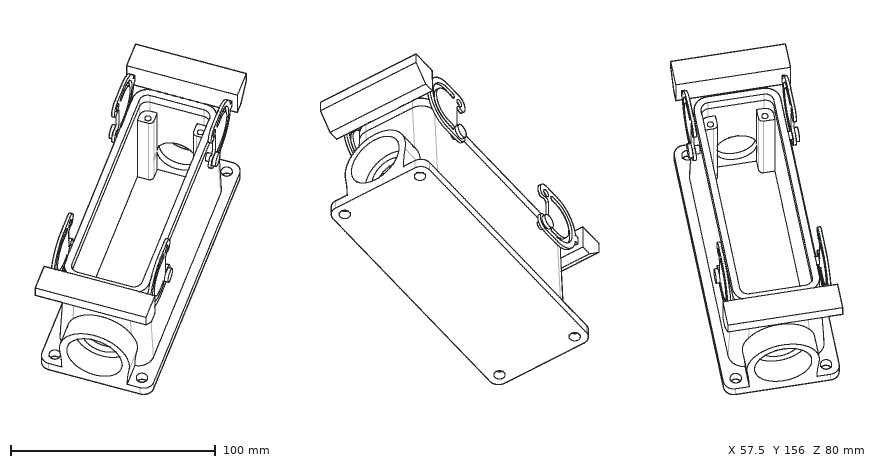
import cadquery as cq
import math

base_width = 57.5
base_length = 144.0
base_thickness = 5.2
base_corner_radius = 5.2
mount_hole_diameter = 5.5
mount_hole_x = 22.4
mount_hole_y = 65.9

rim_width = 43.0
shell_length = 120.0
shell_foot_width = 47.6
shell_corner_radius = 7.7
wall = 3.5
rim_bottom = 58.8
rim_top = 64.3
cavity_width = rim_width - 2 * wall
cavity_length = shell_length - 2 * wall
cavity_corner_radius = shell_corner_radius - wall

screw_spacing_x = 27.0
screw_spacing_y = 104.0
screw_hole_diameter = 3.0
screw_hole_depth = 12.0
pillar_inner_x = 10.2
pillar_inner_y = 49.2
pillar_corner_radius = 2.2
pillar_top = 51.5

entry_z = 20.1
entry_radius = 18.0
entry_foot_half_width = 16.8
entry_bore_diameter = 28.4
entry_hole_diameter = 20.5
entry_bore_depth = (base_length - shell_length) / 2

plate_thickness = 1.5
plate_outer_x = 25.6
plate_centre_y = 46.8
plate_centre_z = 64.6
plate_radius = 15.4
hook_y = 37.0
hook_radius = 5.0
hook_rise = plate_radius - hook_radius
hook_hole_diameter = 3.9
hook_tip_radius = 2.0
web_edge_y = 38.8
notch_radius = web_edge_y - hook_y
notch_drop = 4.75
slot_inner_radius = 9.6
slot_outer_radius = 12.4
slot_end_y = 41.3
slot_end_radius = 1.0
neck_height = 4.4

grip_width = 57.0
grip_inner_y = 64.1
grip_outer_y = 78.0
grip_bottom = 58.5
grip_top = 72.8
grip_chamfer = 8.2

pivot_diameter = 4.2
pivot_head_diameter = 7.1
pivot_head_x = 27.4
pivot_root_x = cavity_width / 2 + wall / 2
pivot_z = plate_centre_z - hook_rise

both_sides = (-1, 1)


def rounded_block(width, length, radius, bottom, top):
    block = cq.Workplane("XY").workplane(offset=bottom).rect(width, length).extrude(top - bottom)
    return block.edges("|Z").fillet(radius)


def cavity_block(bottom, top):
    return rounded_block(cavity_width, cavity_length, cavity_corner_radius, bottom, top)


def make_base():
    base = rounded_block(base_width, base_length, base_corner_radius, 0, base_thickness)
    holes = (
        cq.Workplane("XY")
        .rect(2 * mount_hole_x, 2 * mount_hole_y, forConstruction=True)
        .vertices()
        .circle(mount_hole_diameter / 2)
        .extrude(base_thickness)
    )
    return base.cut(holes)


def make_shell():
    shell = (
        cq.Workplane("XZ")
        .moveTo(-shell_foot_width / 2, base_thickness)
        .lineTo(-rim_width / 2, rim_bottom)
        .lineTo(rim_width / 2, rim_bottom)
        .lineTo(shell_foot_width / 2, base_thickness)
        .close()
        .extrude(shell_length / 2, both=True)
    )
    corner_edges = shell.edges("not(#Z or |Y)")
    return corner_edges.fillet(shell_corner_radius)


def make_pillars():
    height = pillar_top - base_thickness
    pillars = cavity_block(base_thickness, pillar_top)
    for size_x, size_y in ((2 * pillar_inner_x, cavity_length), (cavity_width, 2 * pillar_inner_y)):
        gap = cq.Workplane("XY").workplane(offset=base_thickness).rect(size_x, size_y).extrude(height)
        pillars = pillars.cut(gap)
    margin = pillar_corner_radius / 2
    inner_corners = cq.selectors.BoxSelector(
        (-pillar_inner_x - margin, -pillar_inner_y - margin, 0),
        (pillar_inner_x + margin, pillar_inner_y + margin, rim_top),
    )
    pillars = pillars.edges("|Z").edges(inner_corners).fillet(pillar_corner_radius)
    screw_holes = (
        cq.Workplane("XY")
        .workplane(offset=pillar_top)
        .rect(screw_spacing_x, screw_spacing_y, forConstruction=True)
        .vertices()
        .circle(screw_hole_diameter / 2)
        .extrude(-screw_hole_depth)
    )
    return pillars.cut(screw_holes)


def make_entry_bosses():
    """Round bosses whose flanks curve outwards again and meet the flange upright."""
    drop = entry_z - base_thickness
    flank_radius = (drop**2 + entry_foot_half_width**2 - entry_radius**2) / (
        2 * (entry_radius - entry_foot_half_width)
    )
    flank_angle = math.asin(drop / (entry_radius + flank_radius))
    join_x = entry_radius * math.cos(flank_angle)
    join_z = entry_z - entry_radius * math.sin(flank_angle)
    middle_x = entry_foot_half_width + flank_radius * (1 - math.cos(flank_angle / 2))
    middle_z = base_thickness + flank_radius * math.sin(flank_angle / 2)
    return (
        cq.Workplane("XZ")
        .moveTo(-entry_foot_half_width, 0)
        .lineTo(-entry_foot_half_width, base_thickness)
        .threePointArc((-middle_x, middle_z), (-join_x, join_z))
        .threePointArc((0, entry_z + entry_radius), (join_x, join_z))
        .threePointArc((middle_x, middle_z), (entry_foot_half_width, base_thickness))
        .lineTo(entry_foot_half_width, 0)
        .close()
        .extrude(base_length / 2, both=True)
    )


def make_entry_holes():
    hole = cq.Workplane("XZ").center(0, entry_z).circle(entry_hole_diameter / 2)
    holes = hole.extrude(base_length / 2, both=True)
    for side in both_sides:
        bore = (
            cq.Workplane("XZ", origin=(0, side * base_length / 2, entry_z))
            .circle(entry_bore_diameter / 2)
            .extrude(side * entry_bore_depth)
        )
        holes = holes.union(bore)
    return holes


def point_on(centre, radius, angle):
    return (centre[0] + radius * math.cos(angle), centre[1] + radius * math.sin(angle))


def plate_half():
    """Upper half of a lever plate, ending in its hook."""
    hook = (hook_y, hook_rise)
    notch = (hook_y, hook_rise - notch_drop)
    to_hook = hook_radius - hook_tip_radius
    to_notch = notch_radius + hook_tip_radius
    tip_drop = (notch_drop**2 + to_hook**2 - to_notch**2) / (2 * notch_drop)
    hook_angle = math.atan2(-tip_drop, -math.sqrt(to_hook**2 - tip_drop**2))
    tip = point_on(hook, to_hook, hook_angle)
    notch_angle = math.atan2(tip[1] - notch[1], tip[0] - notch[0])
    tip_start = point_on(notch, notch_radius, notch_angle)
    tip_end = point_on(hook, hook_radius, hook_angle)
    tip_middle = point_on(tip, hook_tip_radius, (notch_angle - math.pi + hook_angle) / 2)
    hook_middle = point_on(hook, hook_radius, (hook_angle - 1.5 * math.pi) / 2)
    diagonal = plate_radius * math.sqrt(0.5)
    outline = (
        cq.Workplane("YZ", origin=(0, 0, plate_centre_z))
        .moveTo(web_edge_y, 0)
        .lineTo(web_edge_y, notch[1])
        .threePointArc(point_on(notch, notch_radius, notch_angle / 2), tip_start)
        .threePointArc(tip_middle, tip_end)
        .threePointArc(hook_middle, (hook_y, plate_radius))
        .lineTo(plate_centre_y, plate_radius)
        .threePointArc((plate_centre_y + diagonal, diagonal), (plate_centre_y + plate_radius, 0))
        .close()
    )
    hole = cq.Workplane("YZ", origin=(0, 0, plate_centre_z)).moveTo(*hook).circle(hook_hole_diameter / 2)
    return outline.extrude(plate_thickness).cut(hole.extrude(plate_thickness))


def d_shape(radius):
    """Half disc about the plate centre, continued straight to the ends of the slot."""
    return (
        cq.Workplane("YZ", origin=(0, 0, plate_centre_z))
        .moveTo(slot_end_y, -radius)
        .lineTo(plate_centre_y, -radius)
        .threePointArc((plate_centre_y + radius, 0), (plate_centre_y, radius))
        .lineTo(slot_end_y, radius)
        .close()
        .extrude(plate_thickness)
    )


def make_plate():
    """One lever plate with its hooks, C-shaped slot and neck; its inner face lies at X = 0."""
    upper = plate_half()
    plate = upper.union(upper.mirror("XY", (0, 0, plate_centre_z)))
    slot = d_shape(slot_outer_radius).cut(d_shape(slot_inner_radius))
    slot = slot.edges("|X and <Y").fillet(slot_end_radius)
    neck_start_y = plate_centre_y + (slot_outer_radius + plate_radius) / 2
    neck = cq.Workplane("XY").box(
        plate_thickness, grip_inner_y - neck_start_y, neck_height, centered=(False, False, True)
    )
    return plate.cut(slot).union(neck.translate((0, neck_start_y, plate_centre_z)))


def make_grip():
    return (
        cq.Workplane("YZ")
        .moveTo(grip_inner_y, grip_bottom)
        .lineTo(grip_inner_y, grip_top)
        .lineTo(grip_outer_y, grip_top)
        .lineTo(grip_outer_y, grip_bottom + grip_chamfer)
        .lineTo(grip_outer_y - grip_chamfer, grip_bottom)
        .close()
        .extrude(grip_width / 2, both=True)
    )


def make_pivot():
    pivot = (
        cq.Workplane("YZ", origin=(pivot_root_x, hook_y, pivot_z))
        .circle(pivot_diameter / 2)
        .extrude(pivot_head_x - pivot_root_x)
    )
    head = (
        cq.Workplane("YZ", origin=(plate_outer_x, hook_y, pivot_z))
        .circle(pivot_head_diameter / 2)
        .extrude(pivot_head_x - plate_outer_x)
    )
    return pivot.union(head)


def make_lever():
    """Lever at the +Y end: a plate and pivot on each side, joined by the grip bar."""
    side_parts = make_plate().translate((plate_outer_x - plate_thickness, 0, 0)).union(make_pivot())
    return make_grip().union(side_parts).union(side_parts.mirror("YZ"))


def make_housing():
    """Housing with both levers fixed to it through their pivots."""
    housing = make_base().union(make_shell()).union(make_entry_bosses())
    housing = housing.cut(cavity_block(base_thickness, rim_bottom)).union(make_pillars())
    housing = housing.cut(make_entry_holes())
    lever = make_lever()
    return housing.union(lever).union(lever.mirror("XZ"))


def make_rim():
    """Upright ring that sits on top of the housing walls."""
    outside = rounded_block(rim_width, shell_length, shell_corner_radius, rim_bottom, rim_top)
    return outside.cut(cavity_block(rim_bottom, rim_top))


housing = make_housing()
rim = make_rim()

result = cq.Compound.makeCompound([housing.solids().val(), rim.solids().val()])